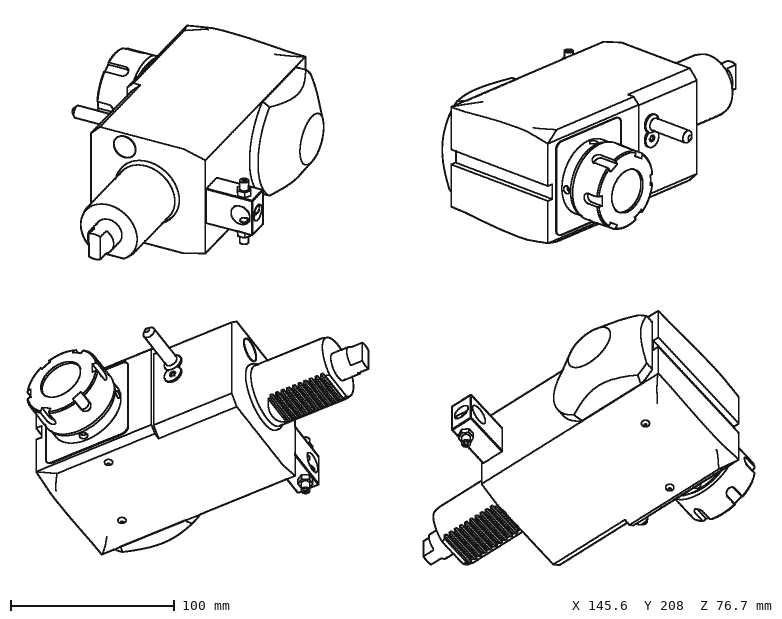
import cadquery as cq
import math


overlap = 2

body_length = 136.0
body_half_height = 37.5
body_right = 39.5
taper_start = 24.5
taper_angle = math.radians(15)
front_left, front_chamfer = -39.0, 6.2
rear_left, rear_chamfer = -41.5, 4.2
rear_start = 55.0
plug_x, plug_z, plug_diameter, plug_recess = -15.8, 27.7, 15.0, 0.5

back_slope = 0.29
back_slope_length = 20.8
back_edge = [(-41.5, 33.3), (-37.2, 34.0), (-26.0, 36.0), (-13.5, 36.5), (5.8, 35.5), (24.5, 34.0), (39.5, 33.3)]
back_slot_width, back_slot_depth = 10.0, 4.0

spindle_y = 100.0
pad_width, pad_height, pad_thickness, pad_radius = 57.8, 62.6, 0.6, 4.5
flange_radius, flange_end = 24.1, -49.5
flange_hole_diameter, flange_hole_depth, flange_hole_x = 5.0, 3.1, -46.2
neck_radius = 20.8
nut_radius, nut_back, nut_front = 25, -52, -74.5
nut_face_radius, nut_cone_radius, nut_cone_length, nut_edge = 17.9, 24.1, 1.5, 0.8
nut_bore_radius, nut_bore_depth = 14.0, 1.7
nut_slot_count, nut_slot_width, nut_slot_floor = 6, 6.7, 21.6
nut_slot_end, upper_slot_end = -61.5, -57.6

cover_radius, cover_face_radius = 40.1, 16.2
cover_cone_start, cover_end = 45.3, 62.0
cover_flat_y = 131.5
cover_half_height, cover_taper_start = 32.9, 41.2

shank_radius, shank_length = 20.0, 52.6
shank_chamfer_length, shank_chamfer_depth = 3.0, 0.6
collar_radius, collar_length, collar_round = 21.6, 2.7, 1.5
tang_radius, tang_shoulder, tang_end = 9.0, 63.9, 72.0
blade_width, blade_root_fillet = 8.0, 0.6
rack_tip_z, rack_root_z = -16.5, -15.4
rack_ramp_end, rack_pitch = 10.0, 4.0
rack_gap_count = 10
rack_first_gap = 13.0
rack_gap_root, rack_gap_mouth = 1.5, 3.1

pin_y, pin_z, pin_radius, pin_tip_x = 41.0, 15.8, 4.0, -71.5
pin_tip_chamfer = 2.3
pin_base_radius, pin_base_height, pin_flare = 5.8, 1.0, 1.7
screw_z, screw_socket_size, screw_socket_depth = 5.8, 4.2, 1.2

block_right, block_front, block_back, block_half_height = 71.1, 1.0, 16.0, 12.5
block_chamfer = 0.5
block_hole_x, block_hole_diameter = 63.0, 13.0
block_outlet_diameter = 10.5
set_screw_y, set_screw_radius = 6.0, 2.7
set_screw_tip, set_screw_top = 6.0, 22.0
lock_nut_corners, lock_nut_height = 9.2, 3.7
set_screw_socket, set_screw_socket_depth = 3.0, 1.0

foot_points = (-30.2, 91.5), (16.8, 108.8)
foot_height, foot_radius, foot_tip_radius = 1.7, 2.5, 0.8


def revolved_x(points, y, z=0):
    """Turn (x, radius) points about the line parallel to X through (y, z)."""
    profile = cq.Workplane("XY").polyline(points).close()
    return profile.revolve(360, (0, 0, 0), (1, 0, 0)).translate((0, y, z))


def cylinder_y(radius, start, end):
    return cq.Workplane("XZ", origin=(0, start, 0)).circle(radius).extrude(start - end)


def mirrored_prism(upper, start, end):
    """Prism along Y whose (x, z) outline is `upper` and its mirror image below Z = 0."""
    lower = [(x, -z) for x, z in reversed(upper)]
    outline = cq.Workplane("XZ", origin=(0, start, 0)).polyline(upper + lower).close()
    return outline.extrude(start - end)


def housing_section(left, chamfer, start, end):
    """Length of housing with chamfered left edges and tapered right flanks."""
    drop = (body_right - taper_start) * math.tan(taper_angle)
    upper = [
        (left, body_half_height - chamfer),
        (left + chamfer, body_half_height),
        (taper_start, body_half_height),
        (body_right, body_half_height - drop),
    ]
    return mirrored_prism(upper, start, end)


def make_housing():
    housing = housing_section(front_left, front_chamfer, 0, rear_start)
    housing = housing.union(housing_section(rear_left, rear_chamfer, rear_start, body_length))

    first, last = back_edge[0], back_edge[-1]
    ceiling = 2 * body_half_height
    edge = (
        cq.Workplane("XZ", origin=(0, body_length, 0))
        .moveTo(first[0] - overlap, ceiling)
        .lineTo(first[0] - overlap, first[1])
        .lineTo(*first)
        .spline(back_edge[1:], includeCurrent=True)
        .lineTo(last[0] + overlap, last[1])
        .lineTo(last[0] + overlap, ceiling)
        .close()
    )
    direction = cq.Vector(0, -back_slope_length, back_slope * back_slope_length)
    wedge = cq.Workplane(cq.Solid.extrudeLinear(edge.wire().val(), [], direction))
    housing = housing.cut(wedge).cut(wedge.mirror("XY"))

    back_slot = cq.Workplane("XY").box(4 * body_right, 2 * back_slot_depth, back_slot_width)
    plug = cylinder_y(plug_diameter / 2, 0, plug_recess).translate((plug_x, 0, plug_z))
    return housing.cut(back_slot.translate((0, body_length, 0))).cut(plug)


def make_nut_slot(inner_end):
    """A slot on top of the nut, open at the front and rounded at its inner end."""
    slot_radius = nut_slot_width / 2
    slot_centre = inner_end - slot_radius
    return (
        cq.Workplane("XY", origin=(0, 0, nut_slot_floor))
        .moveTo(nut_front - overlap, -slot_radius)
        .lineTo(slot_centre, -slot_radius)
        .threePointArc((inner_end, 0), (slot_centre, slot_radius))
        .lineTo(nut_front - overlap, slot_radius)
        .close()
        .extrude(nut_radius)
    )


def make_spindle():
    pad_depth = pad_thickness + overlap
    pad = cq.Workplane("XY").box(pad_depth, pad_width, pad_height).edges("|X").fillet(pad_radius)
    pad = pad.translate((rear_left - pad_thickness + pad_depth / 2, spindle_y, 0))

    cone_end = nut_front + nut_cone_length
    bore_floor = nut_front + nut_bore_depth
    spindle = revolved_x(
        [
            (rear_left + overlap, 0),
            (rear_left + overlap, flange_radius),
            (flange_end, flange_radius),
            (flange_end, neck_radius),
            (nut_back, neck_radius),
            (nut_back, nut_radius),
            (cone_end + nut_edge, nut_radius),
            (cone_end, nut_cone_radius),
            (nut_front, nut_face_radius),
            (nut_front, nut_bore_radius),
            (bore_floor, nut_bore_radius),
            (bore_floor, 0),
        ],
        spindle_y,
    )

    for i in range(nut_slot_count):
        angle = 360 / nut_slot_count * i
        above_axis = 0 < angle < 180
        slot = make_nut_slot(upper_slot_end if above_axis else nut_slot_end)
        turned = slot.rotate((0, 0, 0), (1, 0, 0), angle - 90)
        spindle = spindle.cut(turned.translate((0, spindle_y, 0)))

    hole = (
        cq.Workplane("XY", origin=(flange_hole_x, 0, flange_radius - flange_hole_depth))
        .circle(flange_hole_diameter / 2)
        .extrude(2 * flange_hole_depth)
    )
    for angle in (0, 90, 180, 270):
        spindle = spindle.cut(hole.rotate((0, 0, 0), (1, 0, 0), angle).translate((0, spindle_y, 0)))
    return pad.union(spindle)


def make_cover():
    inside = body_right - overlap
    cover = revolved_x(
        [
            (inside, 0),
            (inside, cover_radius),
            (cover_cone_start, cover_radius),
            (cover_end, cover_face_radius),
            (cover_end, 0),
        ],
        spindle_y,
    )
    taper_height = cover_half_height - (cover_end - cover_taper_start) * math.tan(taper_angle)
    upper = [
        (inside, cover_half_height),
        (cover_taper_start, cover_half_height),
        (cover_end, taper_height),
    ]
    return cover.intersect(mirrored_prism(upper, 0, cover_flat_y))


def make_shank():
    collar = cylinder_y(collar_radius, overlap, -collar_length).faces("<Y").edges().fillet(collar_round)
    shank = (
        cylinder_y(shank_radius, overlap, -shank_length)
        .faces("<Y")
        .chamfer(shank_chamfer_length, shank_chamfer_depth)
    )
    ramp_run = rack_tip_z + collar_radius
    relief = (
        cq.Workplane("YZ", origin=(-shank_radius, 0, 0))
        .polyline(
            [
                (ramp_run - rack_ramp_end, -collar_radius),
                (-rack_ramp_end, rack_tip_z),
                (-shank_length - overlap, rack_tip_z),
                (-shank_length - overlap, -collar_radius),
            ]
        )
        .close()
        .extrude(2 * shank_radius)
    )
    shank = shank.cut(relief)
    for i in range(rack_gap_count):
        y = -rack_first_gap - rack_pitch * i
        gap = (
            cq.Workplane("YZ", origin=(-shank_radius, 0, 0))
            .polyline(
                [
                    (y - rack_gap_mouth / 2, rack_tip_z),
                    (y - rack_gap_root / 2, rack_root_z),
                    (y + rack_gap_root / 2, rack_root_z),
                    (y + rack_gap_mouth / 2, rack_tip_z),
                ]
            )
            .close()
            .extrude(2 * shank_radius)
        )
        shank = shank.cut(gap)

    tang = cylinder_y(tang_radius, overlap - shank_length, -tang_end)
    blade_length = tang_end - tang_shoulder
    for side in (-1, 1):
        cheek = (
            cq.Workplane("XY")
            .box(tang_radius, 2 * blade_length, 3 * tang_radius)
            .edges("|Z and >Y")
            .fillet(blade_root_fillet)
            .translate((side * (blade_width + tang_radius) / 2, -tang_end, 0))
        )
        tang = tang.cut(cheek)
    return collar.union(shank).union(tang)


def make_pin():
    inside = front_left + overlap
    base_top = front_left - pin_base_height
    flare_end = base_top - pin_flare
    pin = revolved_x(
        [
            (inside, 0),
            (inside, pin_base_radius),
            (base_top, pin_base_radius),
            (flare_end, pin_radius),
            (pin_tip_x + pin_tip_chamfer, pin_radius),
            (pin_tip_x, pin_radius - pin_tip_chamfer),
            (pin_tip_x, 0),
        ],
        pin_y,
        pin_z,
    )
    head = revolved_x(
        [(inside, 0), (inside, pin_base_radius), (base_top, pin_base_radius), (base_top, 0)],
        pin_y,
        screw_z,
    )
    socket = (
        cq.Workplane("YZ", origin=(base_top, pin_y, screw_z))
        .polygon(6, screw_socket_size)
        .extrude(screw_socket_depth)
    )
    return pin.union(head.cut(socket))


def make_coolant_block():
    inside = body_right - overlap
    block_middle = (block_front + block_back) / 2
    block = (
        cq.Workplane("XY")
        .box(block_right - inside, block_back - block_front, 2 * block_half_height)
        .edges("|X or >X")
        .chamfer(block_chamfer)
        .translate(((block_right + inside) / 2, block_middle, 0))
    )
    hole = cylinder_y(block_hole_diameter / 2, block_front - overlap, block_back + overlap)
    block = block.cut(hole.translate((block_hole_x, 0, 0)))
    outlet = cq.Workplane("YZ", origin=(block_hole_x, block_middle, 0)).circle(block_outlet_diameter / 2)
    block = block.cut(outlet.extrude(block_right))

    seat = cq.Workplane("XY", origin=(block_hole_x, set_screw_y, block_half_height))
    protrusion = set_screw_top - block_half_height
    tip = seat.workplane(offset=set_screw_tip - block_half_height)
    screw = tip.circle(set_screw_radius).extrude(set_screw_top - set_screw_tip)
    screw = screw.union(seat.polygon(6, lock_nut_corners).extrude(lock_nut_height))
    socket = seat.workplane(offset=protrusion).polygon(6, set_screw_socket).extrude(-set_screw_socket_depth)
    screw = screw.cut(socket)
    return block.union(screw).union(screw.mirror("XY"))


def make_feet():
    taper = math.degrees(math.atan2(foot_radius - foot_tip_radius, foot_height))
    underside = cq.Workplane("XY", origin=(0, 0, -body_half_height))
    return underside.pushPoints(foot_points).circle(foot_radius).extrude(-foot_height, taper=taper)


result = make_housing()
for feature in (make_spindle(), make_cover(), make_shank(), make_pin(), make_coolant_block(), make_feet()):
    result = result.union(feature)